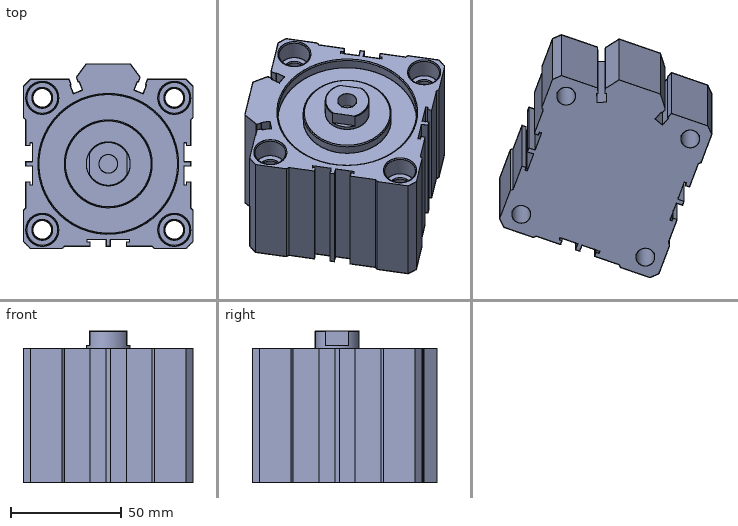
import cadquery as cq

BLOCK_WIDTH = 77.0
BLOCK_HEIGHT = 61.0
BLOCK_HALF = BLOCK_WIDTH / 2
CORNER_CHAMFER = 3.2
TOTAL_LENGTH_Y = 84.0
TOTAL_HEIGHT = 69.0

RELIEF_DEPTH = 1.0
RELIEF_HALF_LENGTH = 20.0

RIB_WIDTH = 2.0
SLOT_MOUTH_HALF = 8.2
SLOT_UNDERCUT_HALF = 9.6
SLOT_LIP = 2.0
SLOT_DEPTH = 3.0

RAIL_TOP_HALF = 10.0
RAIL_TIP_HALF = 14.45
RAIL_TIP_Y = 39.5
RAIL_TOP_Y = TOTAL_LENGTH_Y - BLOCK_HALF

GROOVE_TILT = 21.0
GROOVE_CORNER_X = 11.8
GROOVE_CORNER_Y = 33.5
GROOVE_WIDTH = 4.4
GROOVE_LIP = 0.5
GROOVE_LIP_HEIGHT = 4.1
GROOVE_CUT_HEIGHT = 7.6

HOLE_SPACING = 60.0
HOLE_DIAMETER = 8.5
COUNTERBORE_DIAMETER = 14.0
COUNTERBORE_DEPTH = 10.5
EDGE_CHAMFER = 0.5

BORE_DIAMETER = 63.0
BORE_DEPTH = 5.5
COLLAR_DIAMETER = 40.0
COLLAR_HEIGHT = 5.0
COLLAR_TOP_Z = BLOCK_HEIGHT - BORE_DEPTH + COLLAR_HEIGHT

ROD_DIAMETER = 20.0
ROD_CHAMFER = 0.25
ROD_HOLE_DIAMETER = 8.5
FLAT_WIDTH = 17.0
FLAT_LENGTH = 6.6


def disc(diameter, bottom, top):
    return cq.Workplane("XY").workplane(offset=bottom).circle(diameter / 2).extrude(top - bottom)


def countersunk_cutter(diameter, bottom, top):
    """Cylinder that widens at its top to cut a hole with a chamfered rim."""
    cone = (
        cq.Workplane("XY").workplane(offset=top - EDGE_CHAMFER).circle(diameter / 2)
        .workplane(offset=EDGE_CHAMFER).circle(diameter / 2 + EDGE_CHAMFER).loft()
    )
    return disc(diameter, bottom, top).union(cone)


def prism(points):
    """Extrude a closed XY outline over the full block height."""
    return cq.Workplane("XY").polyline(points).close().extrude(BLOCK_HEIGHT)


def side_relief():
    """Relief in the front (-Y) side."""
    floor_y = RELIEF_DEPTH - BLOCK_HALF
    outer_half = RELIEF_HALF_LENGTH + RELIEF_DEPTH
    return prism([
        (-outer_half, -BLOCK_HALF),
        (outer_half, -BLOCK_HALF),
        (RELIEF_HALF_LENGTH, floor_y),
        (-RELIEF_HALF_LENGTH, floor_y),
    ])


def side_slot():
    """Undercut slot in the front (-Y) side, on the +X side of the rib."""
    relief_y = RELIEF_DEPTH - BLOCK_HALF
    lip_y = relief_y + SLOT_LIP
    bottom_y = relief_y + SLOT_DEPTH
    rib_x = RIB_WIDTH / 2
    return prism([
        (rib_x, -BLOCK_HALF),
        (SLOT_MOUTH_HALF, -BLOCK_HALF),
        (SLOT_MOUTH_HALF, lip_y),
        (SLOT_UNDERCUT_HALF, lip_y),
        (SLOT_UNDERCUT_HALF, bottom_y),
        (rib_x, bottom_y),
    ])


def side_cutter():
    """Everything removed from the front side: the relief and the slots on both sides of the rib."""
    slot = side_slot()
    return side_relief().union(slot).union(slot.mirror("YZ"))


def rail():
    return prism([
        (-RAIL_TOP_HALF, RAIL_TOP_Y),
        (RAIL_TOP_HALF, RAIL_TOP_Y),
        (RAIL_TIP_HALF, RAIL_TIP_Y),
        (RAIL_TIP_HALF, GROOVE_CORNER_Y),
        (-RAIL_TIP_HALF, GROOVE_CORNER_Y),
        (-RAIL_TIP_HALF, RAIL_TIP_Y),
    ])


def rail_groove():
    """Groove on the +X side of the rail, drawn upright at the origin, then tilted and moved."""
    mouth_far = GROOVE_WIDTH - GROOVE_LIP
    upright = prism([
        (0, 0),
        (GROOVE_WIDTH, 0),
        (GROOVE_WIDTH, GROOVE_LIP_HEIGHT),
        (mouth_far, GROOVE_LIP_HEIGHT),
        (mouth_far, GROOVE_CUT_HEIGHT),
        (GROOVE_LIP, GROOVE_CUT_HEIGHT),
        (GROOVE_LIP, GROOVE_LIP_HEIGHT),
        (0, GROOVE_LIP_HEIGHT),
    ])
    tilted = upright.rotate((0, 0, 0), (0, 0, 1), -GROOVE_TILT)
    return tilted.translate((GROOVE_CORNER_X, GROOVE_CORNER_Y, 0))


def mounting_hole():
    """Through hole with a counterbore, both with chamfered rims."""
    counterbore_floor = BLOCK_HEIGHT - COUNTERBORE_DEPTH
    hole = countersunk_cutter(HOLE_DIAMETER, 0, counterbore_floor)
    return hole.union(countersunk_cutter(COUNTERBORE_DIAMETER, counterbore_floor, BLOCK_HEIGHT))


def make_housing():
    body = cq.Workplane("XY").rect(BLOCK_WIDTH, BLOCK_WIDTH).extrude(BLOCK_HEIGHT)
    body = body.edges("|Z").chamfer(CORNER_CHAMFER)

    for angle in (-90, 0, 90):
        body = body.cut(side_cutter().rotate((0, 0, 0), (0, 0, 1), angle))

    groove = rail_groove()
    body = body.union(rail()).cut(groove).cut(groove.mirror("YZ"))

    hole = mounting_hole()
    for side_x in (-1, 1):
        for side_y in (-1, 1):
            body = body.cut(hole.translate((side_x * HOLE_SPACING / 2, side_y * HOLE_SPACING / 2, 0)))

    bore_floor = BLOCK_HEIGHT - BORE_DEPTH
    body = body.cut(countersunk_cutter(BORE_DIAMETER, bore_floor, BLOCK_HEIGHT))
    collar = disc(COLLAR_DIAMETER, bore_floor, COLLAR_TOP_Z).faces(">Z").chamfer(EDGE_CHAMFER)
    return body.union(collar)


def make_rod():
    """Rod end standing on the collar, with two wrench flats and an axial hole."""
    rod = disc(ROD_DIAMETER, COLLAR_TOP_Z, TOTAL_HEIGHT).faces(">Z").chamfer(ROD_CHAMFER)
    flat_band = disc(ROD_DIAMETER, TOTAL_HEIGHT - FLAT_LENGTH, TOTAL_HEIGHT)
    between_flats = cq.Workplane("XY").box(FLAT_WIDTH, ROD_DIAMETER, 2 * TOTAL_HEIGHT)
    rod = rod.cut(flat_band.cut(between_flats))
    return rod.cut(disc(ROD_HOLE_DIAMETER, COLLAR_TOP_Z, TOTAL_HEIGHT))


housing = make_housing()
rod = make_rod()
result = cq.Compound.makeCompound([housing.val(), rod.val()])